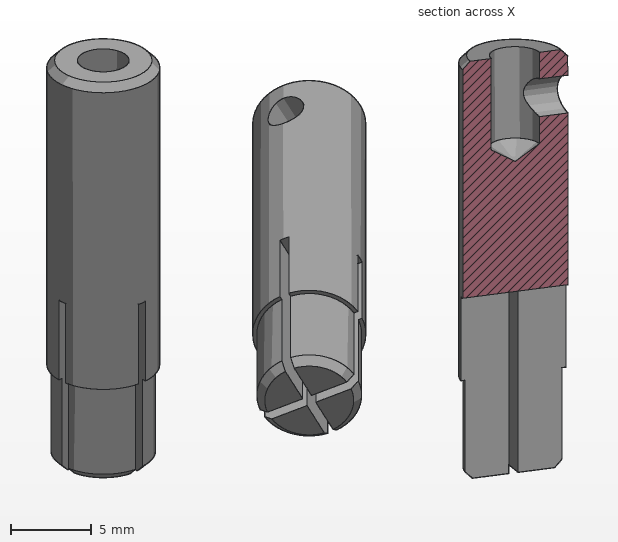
import cadquery as cq
import math

length = 27.5
body_diameter = 7.0
chamfer = 0.5

tip_diameter = 6.5
tip_length = 6.5

slot_width = 0.6
slot_height = 12.0

bore_diameter = 3.2
bore_depth = 6.0
drill_point_angle = 118

cross_hole_diameter = 2.45
cross_hole_below_top = 3.0


def make_body():
    tip = cq.Workplane("XY").circle(tip_diameter / 2).extrude(tip_length)
    tip = tip.faces("<Z").chamfer(chamfer)
    shank = cq.Workplane("XY").workplane(offset=tip_length)
    shank = shank.circle(body_diameter / 2).extrude(length - tip_length)
    shank = shank.faces(">Z").chamfer(chamfer)
    return tip.union(shank)


def make_bore():
    """Half profile of the drilled hole, revolved about the pin axis."""
    radius = bore_diameter / 2
    floor = length - bore_depth
    point_depth = radius / math.tan(math.radians(drill_point_angle / 2))
    profile = (
        cq.Workplane("XZ")
        .moveTo(0, length)
        .lineTo(radius, length)
        .lineTo(radius, floor)
        .lineTo(0, floor - point_depth)
        .close()
    )
    return profile.revolve(360, (0, 0, 0), (0, 1, 0))


def make_cross_hole():
    """Cylinder from the pin axis out through the +Y side."""
    hole = cq.Workplane("XZ").center(0, length - cross_hole_below_top)
    return hole.circle(cross_hole_diameter / 2).extrude(-body_diameter)


def make_slot(angle):
    slot = cq.Workplane("XY").rect(slot_width, 2 * body_diameter).extrude(slot_height)
    return slot.rotate((0, 0, 0), (0, 0, 1), angle)


result = make_body().cut(make_bore()).cut(make_cross_hole())
for slot_angle in (0, 90):
    result = result.cut(make_slot(slot_angle))